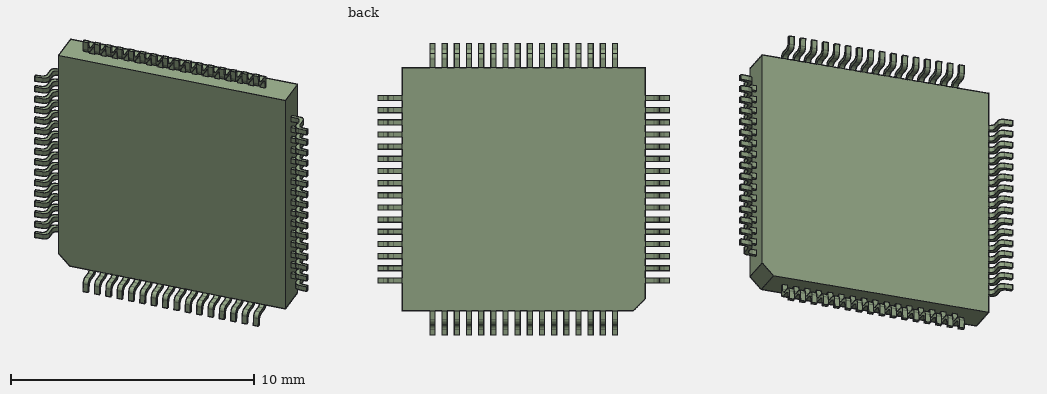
import cadquery as cq
import math


body_side = 10.0
body_thickness = 1.4
standoff = 0.16
corner_chamfer = 0.5

leads_per_side = 16
lead_pitch = 0.5
lead_width = 0.22
lead_thickness = 0.14
lead_height = 0.92
span = 12.0
bend_radius = 0.21
foot_slope = 3.5

side_count = 4

body_edge = body_side / 2
lead_tip = span / 2
web_centre = (body_edge + lead_tip) / 2
web_inner = web_centre - lead_thickness / 2
web_outer = web_centre + lead_thickness / 2
shoulder_underside = lead_height - lead_thickness

slope = math.radians(foot_slope)
foot_corner_x = lead_tip - lead_thickness * math.sin(slope)
foot_end_height = lead_thickness * math.cos(slope)
foot_bend_length = bend_radius * math.tan((math.pi / 2 - slope) / 2)


def make_body():
    block = (
        cq.Workplane("XY")
        .box(body_side, body_thickness, body_side)
        .translate((0, standoff + body_thickness / 2, 0))
    )
    return block.edges("|Y and <X and <Z").chamfer(corner_chamfer)


def foot_bend(web_x, end_x, end_y):
    """Web end and foot end of the bend between a web face and a foot face.

    The web face lies at x = web_x and the foot face ends at (end_x, end_y).
    """
    corner_y = end_y + (end_x - web_x) * math.tan(slope)
    web_point = (web_x, corner_y + foot_bend_length)
    foot_point = (
        web_x + foot_bend_length * math.cos(slope),
        corner_y - foot_bend_length * math.sin(slope),
    )
    return web_point, foot_point


def make_lead():
    """Gull-wing lead on the +X side, centred on z = 0."""
    upper_web, upper_foot = foot_bend(web_outer, lead_tip, foot_end_height)
    lower_web, lower_foot = foot_bend(web_inner, foot_corner_x, 0)
    profile = (
        cq.Workplane("XY")
        .moveTo(body_edge, lead_height)
        .lineTo(web_outer - bend_radius, lead_height)
        .tangentArcPoint((web_outer, lead_height - bend_radius), relative=False)
        .lineTo(*upper_web)
        .tangentArcPoint(upper_foot, relative=False)
        .lineTo(lead_tip, foot_end_height)
        .lineTo(foot_corner_x, 0)
        .lineTo(*lower_foot)
        .tangentArcPoint(lower_web, relative=False)
        .lineTo(web_inner, shoulder_underside - bend_radius)
        .tangentArcPoint((web_inner - bend_radius, shoulder_underside), relative=False)
        .lineTo(body_edge, shoulder_underside)
        .close()
    )
    return profile.extrude(lead_width / 2, both=True)


def make_all_leads():
    lead = make_lead().val()
    first_position = -(leads_per_side - 1) * lead_pitch / 2
    leads = []
    for side in range(side_count):
        side_angle = side * 360 / side_count
        for index in range(leads_per_side):
            placed = lead.translate(cq.Vector(0, 0, first_position + index * lead_pitch))
            leads.append(placed.rotate((0, 0, 0), (0, 1, 0), side_angle))
    return leads


result = cq.Workplane("XY").newObject([make_body().val().fuse(*make_all_leads())])